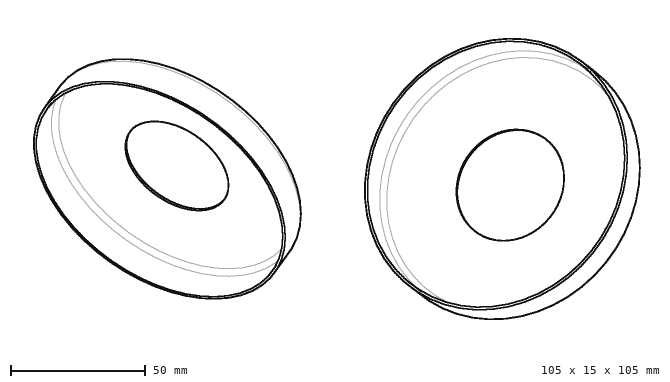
import cadquery as cq

outer_diameter = 105.0
depth = 15.0
wall = 1.0
hole_diameter = 43.0
outer_corner_radius = 3.0
inner_corner_radius = outer_corner_radius - wall


def rounded_disc(diameter, length, corner_radius):
    """Disc along +Y from Y = 0, with its far edge rounded."""
    disc = cq.Workplane("XZ").circle(diameter / 2).extrude(-length)
    return disc.faces(">Y").edges().fillet(corner_radius)


shell = rounded_disc(outer_diameter, depth, outer_corner_radius)
cavity = rounded_disc(outer_diameter - 2 * wall, depth - wall, inner_corner_radius)

center_hole = cq.Workplane("XZ").circle(hole_diameter / 2).extrude(-depth)

result = shell.cut(cavity).cut(center_hole)